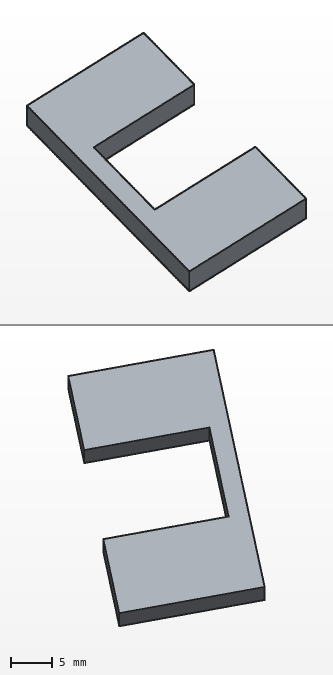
import cadquery as cq

width = 32.0
depth = 18.0
thickness = 4.0

slot_width = 12.0
web_depth = 2.5
slot_depth = depth - web_depth

plate = cq.Workplane("XY").box(width, depth, thickness)

slot = (
    cq.Workplane("XY")
    .box(slot_width, slot_depth, thickness)
    .translate((0, web_depth / 2, 0))
)

result = plate.cut(slot)